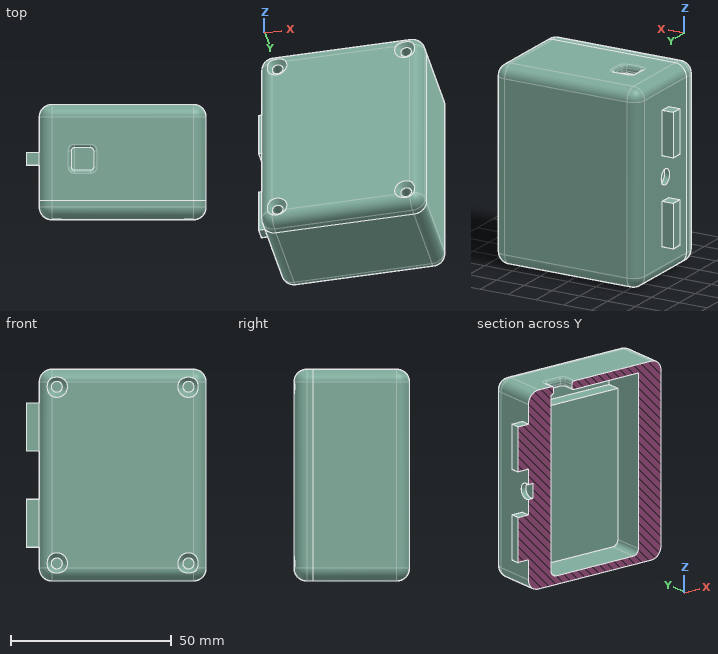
import cadquery as cq

box_length = 52.0
box_depth = 36.0
box_height = 66.0
edge_radius = 4.0
wall = 3.0

lid_thickness = 6.0
screw_inset = 5.5
screw_diameter = 3.4
countersink_diameter = 6.6
countersink_angle = 90.0

side_wall = 9.0
cavity_floor_radius = 2.0
shelf_drop = 11.0
shelf_front_y = 10.5

port_size = 7.0
port_edge_radius = 1.0
port_x = -12.5

mount_y = 1.0
tab_length = 4.0
tab_width = 4.0
tab_height = 15.0
tab_spacing = 30.0
recess_diameter = 5.2
recess_depth = 1.8

left_x = -box_length / 2
top_z = box_height / 2
front_y = -box_depth / 2
joint_y = front_y + lid_thickness
cavity_back_y = box_depth / 2 - wall
cavity_length = box_length - 2 * side_wall
cavity_height = box_height - 2 * wall


def rounded_envelope():
    """Full enclosure block with every outer edge rounded."""
    return cq.Workplane("XY").box(box_length, box_depth, box_height).edges().fillet(edge_radius)


def slab(start_y, end_y):
    """Oversized cutter that keeps the part of the envelope between two Y planes."""
    depth = end_y - start_y
    return cq.Workplane("XY").box(2 * box_length, depth, 2 * box_height).translate((0, start_y + depth / 2, 0))


def make_lid():
    """Solid cover plate with four countersunk through holes."""
    lid = rounded_envelope().intersect(slab(front_y, joint_y))
    return (
        lid.faces("<Y")
        .workplane(origin=(0, front_y, 0))
        .rect(box_length - 2 * screw_inset, box_height - 2 * screw_inset, forConstruction=True)
        .vertices()
        .cskHole(screw_diameter, countersink_diameter, countersink_angle)
    )


def make_cavity():
    """Rounded-floor pocket with a shelf standing against its back wall."""
    depth = cavity_back_y - joint_y
    cavity = (
        cq.Workplane("XY")
        .box(cavity_length, depth, cavity_height)
        .translate((0, joint_y + depth / 2, 0))
        .edges("|Y and <Z")
        .fillet(cavity_floor_radius)
    )
    shelf_depth = cavity_back_y - shelf_front_y
    shelf_height = top_z - shelf_drop + cavity_height / 2
    shelf = (
        cq.Workplane("XY")
        .box(cavity_length, shelf_depth, shelf_height)
        .translate((0, shelf_front_y + shelf_depth / 2, top_z - shelf_drop - shelf_height / 2))
    )
    return cavity.cut(shelf)


def make_port():
    """Cutter for the square port; it flares with a rounded lip at both ends."""
    lip_size = port_size + 2 * port_edge_radius
    frame_size = 2 * lip_size
    frame = cq.Workplane("XY").box(frame_size, frame_size, wall)
    opening = cq.Workplane("XY").box(port_size, port_size, wall).edges("|Z").fillet(port_edge_radius)
    lipped_frame = frame.cut(opening).faces("|Z").edges("%CIRCLE").fillet(port_edge_radius)
    return frame.cut(lipped_frame).translate((port_x, mount_y, top_z - wall / 2))


def make_housing():
    """Hollow box with the port, two side tabs and the blind recess between them."""
    housing = rounded_envelope().intersect(slab(joint_y, -front_y))
    housing = housing.cut(make_cavity()).cut(make_port())
    for side in (-1, 1):
        tab = cq.Workplane("XY").box(tab_length, tab_width, tab_height)
        tab_center = (left_x - tab_length / 2, mount_y, side * tab_spacing / 2)
        housing = housing.union(tab.translate(tab_center))
    recess = (
        cq.Workplane("YZ", origin=(left_x, mount_y, 0))
        .circle(recess_diameter / 2)
        .extrude(recess_depth)
    )
    return housing.cut(recess)


lid = make_lid()
housing = make_housing()

result = cq.Compound.makeCompound([lid.val(), housing.val()])